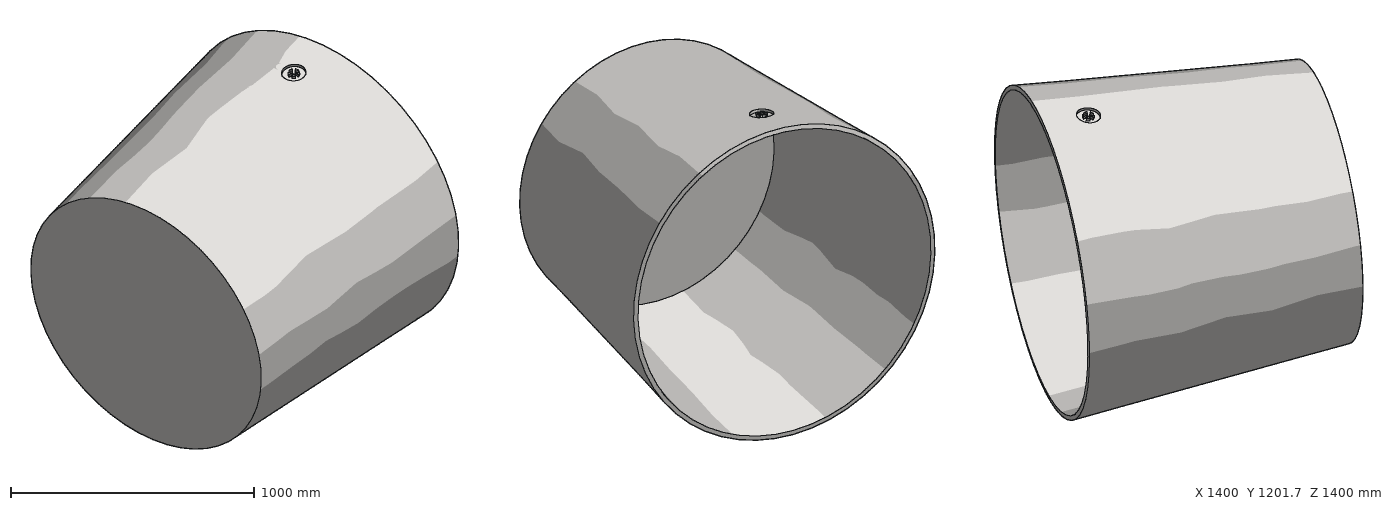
import cadquery as cq
import math

draft_angle = 5.0
wall = 20.0
outer_length = 1200.0
mouth_radius = 700.0

recess_setback = 200.0
recess_radius = 50.0
recess_depth = 13.0

post_count = 5
post_point_radius = 8.0
post_outer_radius = 23.0
post_outer_width = 16.0

slope = math.tan(math.radians(draft_angle))
draft_sine = math.sin(math.radians(draft_angle))
draft_cosine = math.cos(math.radians(draft_angle))

base_radius = mouth_radius - outer_length * slope
inner_mouth_radius = mouth_radius - wall * draft_cosine
inner_mouth_y = outer_length + wall * draft_sine
inner_base_radius = inner_mouth_radius - (inner_mouth_y - wall) * slope

wall_normal = cq.Vector(0, -draft_sine, draft_cosine)
recess_centre = cq.Vector(
    0,
    outer_length - recess_setback * draft_cosine,
    mouth_radius - recess_setback * draft_sine,
)
floor_centre = recess_centre - wall_normal * recess_depth


def make_shell():
    """Constant-thickness tapered wall and flat base, with the lip square to the wall."""
    return (
        cq.Workplane("YZ")
        .moveTo(0, 0)
        .lineTo(0, base_radius)
        .lineTo(outer_length, mouth_radius)
        .lineTo(inner_mouth_y, inner_mouth_radius)
        .lineTo(wall, inner_base_radius)
        .lineTo(wall, 0)
        .close()
        .revolve(360, (0, 0, 0), (1, 0, 0))
    )


def recess_floor():
    """Workplane on the recess floor, facing out of the wall."""
    return cq.Workplane(cq.Plane(origin=floor_centre, xDir=(1, 0, 0), normal=wall_normal))


def make_recess_cutter():
    return recess_floor().circle(recess_radius).extrude(recess_depth + wall)


def make_post(angle):
    """Triangular post whose outer side faces the given direction."""
    return (
        recess_floor()
        .transformed(rotate=(0, 0, angle))
        .moveTo(post_point_radius, 0)
        .lineTo(post_outer_radius, post_outer_width / 2)
        .lineTo(post_outer_radius, -post_outer_width / 2)
        .close()
        .extrude(recess_depth)
    )


result = make_shell().cut(make_recess_cutter())
for index in range(post_count):
    result = result.union(make_post(90 + index * 360 / post_count))